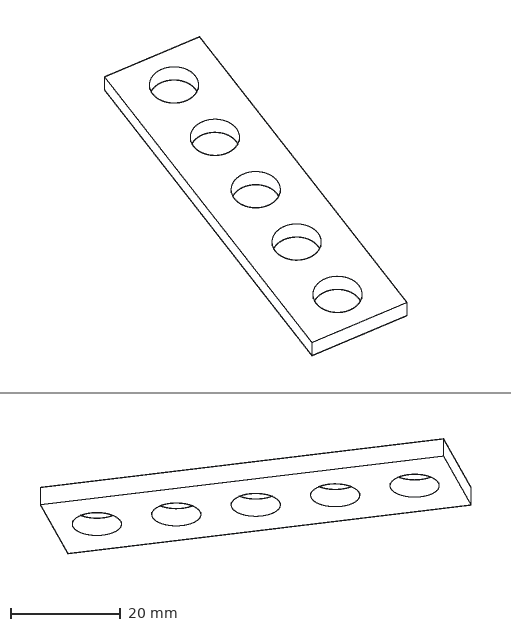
import cadquery as cq

length = 76.0
width = 20.0
thickness = 3.6

hole_count = 5
hole_diameter = 9.0
hole_pitch = 15.0

bar = cq.Workplane("XY").box(length, width, thickness)

result = (
    bar.faces(">Z")
    .workplane()
    .rarray(hole_pitch, 0.75, hole_count, 1)
    .hole(hole_diameter)
)